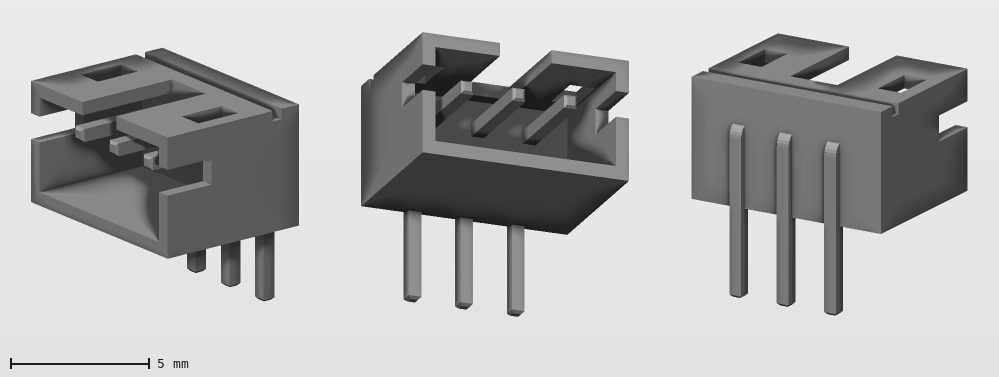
import cadquery as cq
import math

HOUSING_WIDTH = 8.0
HOUSING_DEPTH = 6.0
HOUSING_HEIGHT = 4.62
WALL = 0.5
CAVITY_DEPTH = 4.7

GROOVE_WIDTH = 0.4
GROOVE_DEPTH = 0.4
GROOVE_BACK_MARGIN = 0.8

ROOF_SLOT_WIDTH = 2.0
ROOF_SLOT_DEPTH = 4.1

WINDOW_WIDTH = 0.98
WINDOW_LENGTH = 1.85
WINDOW_FRONT_MARGIN = 1.84
WINDOW_SIDE_MARGIN = 0.57

SIDE_SLOT_DEPTH = 2.0
SIDE_SLOT_HEIGHT = 0.98
SIDE_SLOT_BOTTOM = 2.4

PIN_COUNT = 3
PIN_PITCH = 2.0
PIN_SIZE = 0.5
PIN_TIP_CHAMFER = 0.1
PIN_FRONT = 0.59
PIN_TOP = 3.24
PIN_BOTTOM = -3.35
PIN_PROTRUSION = 0.25
PIN_BEND_RADIUS = 0.55
PIN_BEND_FACETS = 7

pin_back = HOUSING_DEPTH + PIN_PROTRUSION
pin_positions = [(i - (PIN_COUNT - 1) / 2) * PIN_PITCH for i in range(PIN_COUNT)]


def box(x_centre, y_front, z_bottom, width, depth, height):
    """Box centred on x_centre, reaching back and up from its front lower edge."""
    return (
        cq.Workplane("XY")
        .box(width, depth, height, centered=(True, False, False))
        .translate((x_centre, y_front, z_bottom))
    )


def make_pin(x_centre):
    """L-shaped pin with a faceted outer bend, a sharp inner corner and chamfers at both tips."""
    leg_front = pin_back - PIN_SIZE
    arm_bottom = PIN_TOP - PIN_SIZE

    facet_angle = math.pi / 2 / PIN_BEND_FACETS
    bend_points = [
        (
            pin_back - PIN_BEND_RADIUS + PIN_BEND_RADIUS * math.sin(i * facet_angle),
            PIN_TOP - PIN_BEND_RADIUS + PIN_BEND_RADIUS * math.cos(i * facet_angle),
        )
        for i in range(PIN_BEND_FACETS + 1)
    ]
    outline = [
        (PIN_FRONT, PIN_TOP),
        *bend_points,
        (pin_back, PIN_BOTTOM),
        (leg_front, PIN_BOTTOM),
        (leg_front, arm_bottom),
        (PIN_FRONT, arm_bottom),
    ]
    pin = cq.Workplane("YZ").polyline(outline).close().extrude(PIN_SIZE / 2, both=True)
    pin = pin.faces("<Y").chamfer(PIN_TIP_CHAMFER)
    pin = pin.faces("<Z").chamfer(PIN_TIP_CHAMFER)
    return pin.translate((x_centre, 0, 0))


def make_housing(pins):
    """Connector shell with the pin passages cut to fit the pins."""
    housing = box(0, 0, 0, HOUSING_WIDTH, HOUSING_DEPTH, HOUSING_HEIGHT)

    cavity_width = HOUSING_WIDTH - 2 * WALL
    cavity_height = HOUSING_HEIGHT - 2 * WALL
    housing = housing.cut(box(0, 0, WALL, cavity_width, CAVITY_DEPTH, cavity_height))

    groove_front = HOUSING_DEPTH - GROOVE_BACK_MARGIN - GROOVE_WIDTH
    groove_bottom = HOUSING_HEIGHT - GROOVE_DEPTH
    housing = housing.cut(
        box(0, groove_front, groove_bottom, HOUSING_WIDTH, GROOVE_WIDTH, GROOVE_DEPTH)
    )

    roof_bottom = HOUSING_HEIGHT - WALL
    housing = housing.cut(box(0, 0, roof_bottom, ROOF_SLOT_WIDTH, ROOF_SLOT_DEPTH, WALL))
    window_x = HOUSING_WIDTH / 2 - WINDOW_SIDE_MARGIN - WINDOW_WIDTH / 2
    for x in (-window_x, window_x):
        housing = housing.cut(
            box(x, WINDOW_FRONT_MARGIN, roof_bottom, WINDOW_WIDTH, WINDOW_LENGTH, WALL)
        )

    housing = housing.cut(
        box(0, 0, SIDE_SLOT_BOTTOM, HOUSING_WIDTH, SIDE_SLOT_DEPTH, SIDE_SLOT_HEIGHT)
    )

    for pin in pins:
        housing = housing.cut(pin)
    return housing


pins = [make_pin(x) for x in pin_positions]
housing = make_housing(pins)

result = cq.Compound.makeCompound([housing.val(), *[pin.val() for pin in pins]])